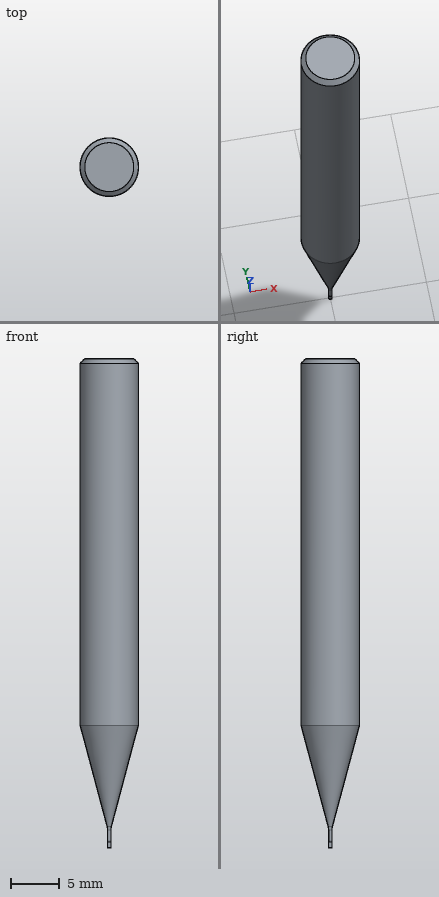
import cadquery as cq
import math

overall_length = 50.0
shank_radius = 3.0
shank_chamfer = 0.5
cutter_radius = 0.2
cutter_length = 0.6
neck_radius = 0.18
shoulder_height = 0.1
neck_top = 1.8
blend_radius = 1.5
taper_angle = math.radians(15.0)


def blend_point(angle):
    """Point (radius, height) on the blend arc where its slope has leaned out by the given angle."""
    radius = neck_radius + blend_radius * (1 - math.cos(angle))
    height = neck_top + blend_radius * math.sin(angle)
    return radius, height


def revolved(half_profile):
    """Solid of revolution about Z from (radius, height) points; the seam faces -Y."""
    return half_profile.close().revolve(360, (0, 0, 0), (0, 1, 0)).rotate((0, 0, 0), (0, 0, 1), -90)


def make_cutter():
    """Plain cylinder enclosing the cutting edges at the tip."""
    return cq.Workplane("XY").circle(cutter_radius).extrude(cutter_length)


def make_shank():
    """Slim neck, blend arc, taper and chamfered cylindrical shank."""
    blend_end_radius, blend_end_height = blend_point(taper_angle)
    taper_height = (shank_radius - blend_end_radius) / math.tan(taper_angle)
    taper_top = blend_end_height + taper_height

    half_profile = (
        cq.Workplane("XZ")
        .moveTo(0, cutter_length)
        .lineTo(cutter_radius, cutter_length)
        .lineTo(neck_radius, cutter_length + shoulder_height)
        .lineTo(neck_radius, neck_top)
        .threePointArc(blend_point(taper_angle / 2), (blend_end_radius, blend_end_height))
        .lineTo(shank_radius, taper_top)
        .lineTo(shank_radius, overall_length - shank_chamfer)
        .lineTo(shank_radius - shank_chamfer, overall_length)
        .lineTo(0, overall_length)
    )
    return revolved(half_profile)


cutter = make_cutter()
shank = make_shank()

result = cq.Compound.makeCompound([cutter.val(), shank.val()])